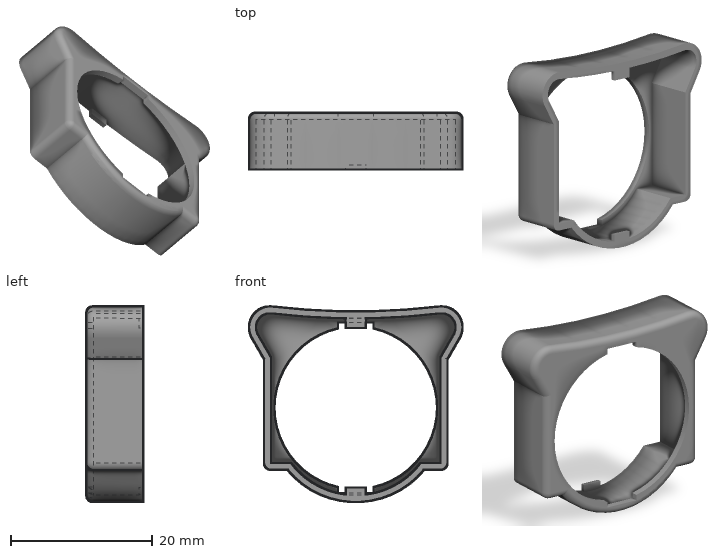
import cadquery as cq
import math

total_width = 30.3
depth = 8.1
wall = 1.0
body_half_width = 13.03
body_bottom_z = -8.82
corner_radius = 1.0
rim_fillet = 0.97

ear_radius = 3.0
ear_x = total_width / 2 - ear_radius
ear_z = 11.4
neck_angle = math.radians(30)
brow_radius = 100.0

chin_bottom_z = -13.4
chin_radius = 12.5
chin_z = chin_bottom_z + chin_radius

bore_radius = 11.5
notch_half_width = 2.48
notch_half_height = 12.05
lug_half_width = 1.42
lug_tip_z = 11.3
lug_thickness = 0.65


def body_profile(inset):
    """Closed outline of the body, moved inward by inset."""
    ear_r = ear_radius - inset
    brow_r = brow_radius + inset
    chin_r = chin_radius - inset
    side_x = body_half_width - inset
    bottom_z = body_bottom_z + inset

    brow_rise = math.sqrt((brow_radius + ear_radius) ** 2 - ear_x**2)
    brow_center_z = ear_z + brow_rise
    brow_angle = math.asin(ear_x / (brow_radius + ear_radius))
    brow_end_x = ear_x - ear_r * math.sin(brow_angle)
    brow_end_z = ear_z + ear_r * math.cos(brow_angle)
    brow_mid_z = brow_center_z - brow_r

    neck_x = ear_x + ear_r * math.cos(neck_angle)
    neck_z = ear_z - ear_r * math.sin(neck_angle)
    neck_foot_z = neck_z - (neck_x - side_x) / math.tan(neck_angle)

    bulge_angle = (math.pi / 2 + brow_angle - neck_angle) / 2
    bulge_x = ear_x + ear_r * math.cos(bulge_angle)
    bulge_z = ear_z + ear_r * math.sin(bulge_angle)

    chin_end_x = math.sqrt(chin_r**2 - (bottom_z - chin_z) ** 2)

    return (
        cq.Workplane("XZ")
        .moveTo(-brow_end_x, brow_end_z)
        .threePointArc((0, brow_mid_z), (brow_end_x, brow_end_z))
        .threePointArc((bulge_x, bulge_z), (neck_x, neck_z))
        .lineTo(side_x, neck_foot_z)
        .lineTo(side_x, bottom_z)
        .lineTo(chin_end_x, bottom_z)
        .threePointArc((0, chin_z - chin_r), (-chin_end_x, bottom_z))
        .lineTo(-side_x, bottom_z)
        .lineTo(-side_x, neck_foot_z)
        .lineTo(-neck_x, neck_z)
        .threePointArc((-bulge_x, bulge_z), (-brow_end_x, brow_end_z))
        .close()
    )


def outer_body():
    """Solid body from Y = 0 (open front) to Y = depth (rounded back)."""
    body = body_profile(0).extrude(-depth)
    corner_reach = 0.3
    for side in (-1, 1):
        corner = cq.selectors.BoxSelector(
            (side * body_half_width - corner_reach, 0, body_bottom_z - corner_reach),
            (side * body_half_width + corner_reach, depth, body_bottom_z + corner_reach),
        )
        body = body.edges("|Y").edges(corner).fillet(corner_radius)
    return body.faces(">Y").edges().fillet(rim_fillet)


def cavity():
    """Space inside the wall, leaving a back plate one wall thick."""
    return body_profile(wall).extrude(-(depth - wall))


def back_opening():
    """Round bore with a rectangular notch at its top and bottom."""
    bore = cq.Workplane("XZ").circle(bore_radius).extrude(-depth)
    notches = cq.Workplane("XZ").rect(2 * notch_half_width, 2 * notch_half_height).extrude(-depth)
    return bore.union(notches)


def lug(side):
    """Tab at the open front, rooted in the top (side = 1) or bottom (side = -1) wall."""
    root_z = bore_radius + wall
    height = root_z + wall / 2 - lug_tip_z
    return (
        cq.Workplane("XZ")
        .center(0, side * (lug_tip_z + height / 2))
        .rect(2 * lug_half_width, height)
        .extrude(-lug_thickness)
    )


result = outer_body().cut(cavity()).cut(back_opening())
for side in (-1, 1):
    result = result.union(lug(side))